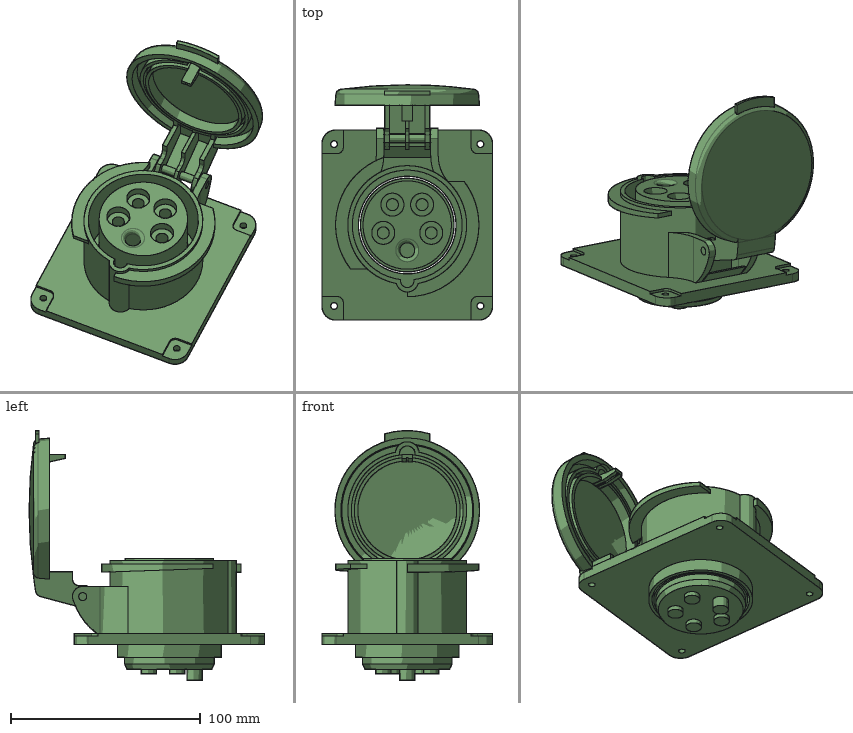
import cadquery as cq
import math


plate_x = 90.0
plate_y = 100.2
plate_top = 5.9
plate_corner_radius = 7.4
recess_x = 11.3
recess_y = 12.5
recess_depth = 1.3
recess_corner_radius = 3.3
screw_x = 38.5
screw_y = 42.6
screw_radius = 1.7

barrel_radius = 31.3
barrel_wall = 2.4
barrel_bore_radius = barrel_radius - barrel_wall
barrel_top = 44.3
key_y = -29.3
key_bore_radius = 3.5
key_outer_radius = key_bore_radius + barrel_wall
sleeve_radius = 27.4
sleeve_bore_radius = 25.6
sleeve_bottom = -6.7

ramp_radius = 37.7
ramp_top = 42.5
ramp_thick = 4.5
ramp_thin = 2.4
ramp_tip_y = 23.0

ear_outer_x = 16.3
ear_thickness = 4.0
ear_inner_x = ear_outer_x - ear_thickness
ear_top = 30.6
pivot_y = 45.6
pivot_z = 25.2
ear_radius = ear_top - pivot_z
ear_foot_y = 38.4
ear_back_y = 46.4
ear_back_z = 14.5
ear_eye_angle = math.radians(28)
ear_blend_y = 36.5
ear_blend_radius = (
    (ear_outer_x**2 + ear_blend_y**2 - barrel_radius**2) / (2 * (barrel_radius - ear_outer_x))
)
ear_blend_x = ear_outer_x + ear_blend_radius
ear_wall_top = 11.2
ear_wall_foot_y = 35.6
ear_wall_crest_inner_y = 41.4
ear_wall_crest_outer_y = 43.3

hinge_pin_radius = 2.1

insert_top = 45.4
insert_face_radius = 23.3
insert_collar_radius = 24.7
insert_base_radius = 23.7
insert_bottom = -13.0
insert_chamfer_height = 2.9
insert_chamfer_width = 1.3
contact_count = 5
contact_circle_radius = 13.3
contact_mouth_radius = 6.0
contact_mouth_depth = 5.0
contact_bore_radius = 3.2
contact_bore_bottom = 0
earth_bore_radius = 4.0
terminal_radius = 4.1
terminal_bottom = -15.4
earth_terminal_bottom = -18.8

lid_z = 70.6
lid_radius = 38.1
lid_face_y = 63.0
lid_side_y = 69.0
lid_side_radius = 37.6
lid_dome_edge_y = 71.5
lid_dome_edge_radius = 35.1
lid_edge_bulge = 0.4
lid_back_y = 73.9
lid_dome_thickness = 2.6
lid_cavity_radius = 35.0
lid_cavity_floor_radius = 34.5
lid_floor_y = 68.2
dome_rise = lid_back_y - lid_dome_edge_y
dome_radius = (lid_dome_edge_radius**2 + dome_rise**2) / (2 * dome_rise)
seal_outer_radius = barrel_radius
seal_inner_radius = 29.5
seal_y = 65.0
seal_key_z = lid_z + 29.9
seal_key_outer_radius = 6.3
seal_key_inner_radius = 4.1
spigot_outer_radius = 27.9
spigot_inner_radius = 26.0
spigot_y = 64.2

tab_half_width = 12.0
tab_radius = 42.1
tab_front_y = 68.5
tab_back_y = 70.5
hook_half_width = 2.8
hook_top = 100.1
hook_tip_y = 54.7
hook_tip_height = 2.1
hook_root_height = 4.0
hook_slot_width = 1.0
hook_slot_top = 98.4

arm_half_width = tab_half_width
arm_thickness = 2.5
middle_arm_thickness = 2.0
arm_eye_radius = 5.8
arm_eye_flat_y = 43.5
arm_eye_bulge = 0.5
arm_top = 38.4
arm_shoulder_y = 50.9
arm_shoulder_radius = 3.4
arm_slope = math.radians(15)
arm_heel_y = 70.2
arm_heel_radius = 4.0
arm_sheet = 2.0
arm_sheet_end_y = 48.1


def cylinder(radius, bottom, top, x=0, y=0):
    """Upright cylinder between two heights."""
    return cq.Workplane("XY", origin=(x, y, bottom)).circle(radius).extrude(top - bottom)


def lid_cylinder(radius, front_y, back_y, z=lid_z):
    """Cylinder along Y between two depths of the lid."""
    return cq.Workplane("XZ", origin=(0, front_y, z)).circle(radius).extrude(front_y - back_y)


def slab(profile_yz, half_width):
    """YZ outline made solid equally to both sides of X = 0."""
    return profile_yz.extrude(half_width, both=True)


def inner_dome_y(radius):
    """Depth of the inside of the spherical lid back at a given radius."""
    sag = dome_radius - math.sqrt(dome_radius**2 - radius**2)
    return lid_back_y - lid_dome_thickness - sag


def make_plate():
    plate = (
        cq.Workplane("XY")
        .rect(plate_x, plate_y)
        .extrude(plate_top)
        .edges("|Z")
        .fillet(plate_corner_radius)
    )
    for side_x in (-1, 1):
        for side_y in (-1, 1):
            recess = (
                cq.Workplane("XY", origin=(side_x * plate_x / 2, side_y * plate_y / 2, plate_top))
                .rect(2 * recess_x, 2 * recess_y)
                .extrude(-recess_depth)
                .edges("|Z")
                .fillet(recess_corner_radius)
            )
            screw_hole = cylinder(screw_radius, 0, plate_top, side_x * screw_x, side_y * screw_y)
            plate = plate.cut(recess).cut(screw_hole)
    return plate


def make_ramps():
    thick_z = ramp_top - ramp_thick
    thin_z = ramp_top - ramp_thin
    wedge = (
        cq.Workplane("YZ")
        .polyline([
            (-ramp_radius, thick_z),
            (ramp_tip_y, thin_z),
            (ramp_tip_y, ramp_top),
            (-ramp_radius, ramp_top),
        ])
        .close()
        .extrude(ramp_radius)
    )
    ramp = wedge.intersect(cylinder(ramp_radius, thick_z, ramp_top))
    return ramp.union(ramp.rotate((0, 0, 0), (0, 0, 1), 180))


def hinge_plan(side_x, blend_radius, end_y):
    """Plan of the hinge between two sides that flare toward the barrel on concentric arcs."""
    flare = math.radians(45)
    foot_x = ear_blend_x - blend_radius * math.cos(flare)
    foot_y = ear_blend_y - blend_radius * math.sin(flare)
    middle_x = ear_blend_x - blend_radius * math.cos(flare / 2)
    middle_y = ear_blend_y - blend_radius * math.sin(flare / 2)
    return (
        cq.Workplane("XY", origin=(0, 0, plate_top))
        .moveTo(-side_x, end_y)
        .lineTo(-side_x, ear_blend_y)
        .threePointArc((-middle_x, middle_y), (-foot_x, foot_y))
        .lineTo(foot_x, foot_y)
        .threePointArc((middle_x, middle_y), (side_x, ear_blend_y))
        .lineTo(side_x, end_y)
        .close()
    )


def make_ears():
    end_y = pivot_y + ear_radius
    eye_foot_y = pivot_y + ear_radius * math.cos(ear_eye_angle)
    eye_foot_z = pivot_z - ear_radius * math.sin(ear_eye_angle)
    ears = hinge_plan(ear_outer_x, ear_blend_radius, end_y).extrude(ear_top - plate_top)
    side = (
        cq.Workplane("YZ")
        .moveTo(0, plate_top)
        .lineTo(ear_foot_y, plate_top)
        .threePointArc((ear_back_y, ear_back_z), (eye_foot_y, eye_foot_z))
        .threePointArc((end_y, pivot_z), (pivot_y, ear_top))
        .lineTo(0, ear_top)
        .close()
    )
    return ears.intersect(slab(side, barrel_radius))


def make_ear_gap():
    """Space between the ears, from the plate up through the ramps."""
    gap = hinge_plan(ear_inner_x, ear_blend_radius + ear_thickness, pivot_y + ear_radius)
    return gap.extrude(ramp_top - plate_top).cut(cylinder(barrel_radius, plate_top, ramp_top))


def make_ear_wall():
    """Low sloping wall that closes the gap between the ears."""
    profile = (
        cq.Workplane("YZ")
        .polyline([
            (ear_wall_foot_y, plate_top),
            (ear_foot_y, plate_top),
            (ear_wall_crest_outer_y, ear_wall_top),
            (ear_wall_crest_inner_y, ear_wall_top),
        ])
        .close()
    )
    return slab(profile, ear_inner_x)


def make_housing():
    barrel = cylinder(barrel_radius, plate_top, barrel_top)
    key = cylinder(key_outer_radius, plate_top, barrel_top, y=key_y)
    sleeve = cylinder(sleeve_radius, sleeve_bottom, 0)
    barrel_bore = cylinder(barrel_bore_radius, plate_top, barrel_top)
    key_bore = cylinder(key_bore_radius, plate_top, barrel_top, y=key_y)
    sleeve_bore = cylinder(sleeve_bore_radius, sleeve_bottom, plate_top)
    pin_hole = slab(
        cq.Workplane("YZ").center(pivot_y, pivot_z).circle(hinge_pin_radius), ear_outer_x
    )
    return (
        make_plate()
        .union(barrel)
        .union(key)
        .union(sleeve)
        .union(make_ramps())
        .union(make_ears())
        .cut(make_ear_gap())
        .union(make_ear_wall())
        .cut(barrel_bore)
        .cut(key_bore)
        .cut(sleeve_bore)
        .cut(pin_hole)
    )


def make_insert():
    insert = (
        cq.Workplane("XZ")
        .polyline([
            (0, insert_top),
            (insert_face_radius, insert_top),
            (insert_face_radius, plate_top),
            (insert_collar_radius, plate_top),
            (insert_collar_radius, sleeve_bottom),
            (insert_base_radius, sleeve_bottom),
            (insert_base_radius, insert_bottom + insert_chamfer_height),
            (insert_base_radius - insert_chamfer_width, insert_bottom),
            (0, insert_bottom),
        ])
        .close()
        .revolve(360, (0, 0), (0, 1))
    )
    for index in range(contact_count):
        angle = math.radians(-90 + index * 360 / contact_count)
        x = contact_circle_radius * math.cos(angle)
        y = contact_circle_radius * math.sin(angle)
        if index == 0:
            insert = insert.cut(make_earth_bore().translate((x, y, 0)))
            terminal_end = earth_terminal_bottom
        else:
            mouth = cylinder(contact_mouth_radius, insert_top - contact_mouth_depth, insert_top, x, y)
            insert = insert.cut(mouth)
            insert = insert.cut(cylinder(contact_bore_radius, contact_bore_bottom, insert_top, x, y))
            terminal_end = terminal_bottom
        insert = insert.union(cylinder(terminal_radius, terminal_end, insert_bottom, x, y))
    return insert


def make_earth_bore():
    """Blind bore whose mouth is rounded outward to the size of the other mouths."""
    rounding = contact_mouth_radius - earth_bore_radius
    diagonal = rounding * math.sqrt(0.5)
    return (
        cq.Workplane("XZ")
        .moveTo(0, contact_bore_bottom)
        .lineTo(earth_bore_radius, contact_bore_bottom)
        .lineTo(earth_bore_radius, insert_top - rounding)
        .threePointArc(
            (contact_mouth_radius - diagonal, insert_top - rounding + diagonal),
            (contact_mouth_radius, insert_top),
        )
        .lineTo(0, insert_top)
        .close()
        .revolve(360, (0, 0), (0, 1))
    )


def make_hinge_pin():
    circle = cq.Workplane("YZ").center(pivot_y, pivot_z).circle(hinge_pin_radius)
    return slab(circle, ear_outer_x)


def lid_profile():
    """Sketch plane whose points are (radius, Y), for turning about the lid axis."""
    return cq.Workplane("XY", origin=(0, 0, lid_z))


def turn(profile):
    return profile.close().revolve(360, (0, 0), (0, 1))


def inner_dome_to_axis(profile, radius):
    """Continue a profile along the inside of the dome from a radius to the axis."""
    middle = (radius / 2, inner_dome_y(radius / 2))
    return profile.threePointArc(middle, (0, inner_dome_y(0)))


def make_lid_shell():
    middle_radius = lid_dome_edge_radius / 2
    middle_y = inner_dome_y(middle_radius) + lid_dome_thickness
    edge_middle = (
        (lid_side_radius + lid_dome_edge_radius) / 2 + lid_edge_bulge,
        (lid_side_y + lid_dome_edge_y) / 2 + lid_edge_bulge,
    )
    shell = turn(
        lid_profile()
        .moveTo(0, lid_face_y)
        .lineTo(lid_radius, lid_face_y)
        .lineTo(lid_side_radius, lid_side_y)
        .threePointArc(edge_middle, (lid_dome_edge_radius, lid_dome_edge_y))
        .threePointArc((middle_radius, middle_y), (0, lid_back_y))
    )
    cavity = (
        lid_profile()
        .moveTo(0, lid_face_y)
        .lineTo(lid_cavity_radius, lid_face_y)
        .lineTo(lid_cavity_floor_radius, lid_floor_y)
        .lineTo(seal_outer_radius, inner_dome_y(seal_outer_radius))
    )
    return shell.cut(turn(inner_dome_to_axis(cavity, seal_outer_radius)))


def make_lid_core():
    """Space inside the seal ring, down to the dome, with the keyway bulge at the top."""
    core = (
        lid_profile()
        .moveTo(0, lid_face_y)
        .lineTo(seal_inner_radius, lid_face_y)
        .lineTo(seal_inner_radius, inner_dome_y(seal_inner_radius))
    )
    floor_y = inner_dome_y(seal_outer_radius)
    key_bulge = lid_cylinder(seal_key_inner_radius, lid_face_y, floor_y, seal_key_z)
    return turn(inner_dome_to_axis(core, seal_inner_radius)).union(key_bulge)


def make_arms():
    """Hinge arms as one solid block, from the pivot eye to the back of the lid."""
    slope_cos = math.cos(arm_slope)
    slope_sin = math.sin(arm_slope)
    eye_foot_y = pivot_y + arm_eye_radius * slope_sin
    eye_foot_z = pivot_z - arm_eye_radius * slope_cos
    heel_z = eye_foot_z + (arm_heel_y - eye_foot_y) * math.tan(arm_slope)
    arm_back_top = lid_z - seal_inner_radius * slope_cos
    eye_end_y = pivot_y - arm_eye_radius
    nose_middle = (
        (arm_eye_flat_y + eye_end_y) / 2 - arm_eye_bulge,
        pivot_z + arm_eye_radius / 2 + arm_eye_bulge,
    )
    eye_diagonal = arm_eye_radius * math.sqrt(0.5)
    outline = (
        cq.Workplane("YZ")
        .moveTo(arm_eye_flat_y, pivot_z + arm_eye_radius)
        .threePointArc(nose_middle, (eye_end_y, pivot_z))
        .threePointArc(
            (pivot_y - eye_diagonal, pivot_z - eye_diagonal), (eye_foot_y, eye_foot_z)
        )
        .lineTo(arm_heel_y, heel_z)
        .lineTo(lid_dome_edge_y, lid_z - lid_dome_edge_radius)
        .lineTo(lid_dome_edge_y, arm_back_top)
        .lineTo(seal_y, arm_back_top)
        .lineTo(seal_y, arm_top)
        .lineTo(arm_shoulder_y, arm_top)
        .lineTo(arm_shoulder_y, pivot_z + arm_eye_radius)
        .close()
    )
    heel = cq.selectors.NearestToPointSelector((0, arm_heel_y, heel_z))
    shoulder = cq.selectors.NearestToPointSelector((0, arm_shoulder_y, pivot_z + arm_eye_radius))
    arms = slab(outline, arm_half_width)
    arms = arms.edges("|X").edges(heel).fillet(arm_heel_radius)
    return arms.edges("|X").edges(shoulder).fillet(arm_shoulder_radius)


def make_arm_gaps():
    """Two gaps between the three arms, which leave a sheet under and behind them."""
    tangent = math.tan(arm_slope)
    sheet_rise = (arm_eye_radius - arm_sheet) / math.cos(arm_slope)
    back_y = lid_floor_y
    back_z = pivot_z - sheet_rise + (back_y - pivot_y) * tangent
    sheet_end_z = pivot_z - sheet_rise + (arm_sheet_end_y - pivot_y) * tangent
    low_z = pivot_z - arm_eye_radius
    front_y = pivot_y - arm_eye_radius
    gap_top = lid_z - seal_inner_radius
    gap_start = middle_arm_thickness / 2
    gap_width = arm_half_width - arm_thickness - gap_start
    gap = (
        cq.Workplane("YZ", origin=(gap_start, 0, 0))
        .polyline([
            (front_y, low_z),
            (arm_sheet_end_y, low_z),
            (arm_sheet_end_y, sheet_end_z),
            (back_y, back_z),
            (back_y, gap_top),
            (front_y, gap_top),
        ])
        .close()
        .extrude(gap_width)
    )
    return gap.union(gap.mirror("YZ"))


def make_seal_ring():
    floor_y = inner_dome_y(seal_outer_radius) + lid_dome_thickness / 2
    ring = lid_cylinder(seal_outer_radius, seal_y, floor_y)
    key = lid_cylinder(seal_key_outer_radius, seal_y, lid_side_y, seal_key_z)
    return ring.union(key)


def make_spigot():
    floor_y = inner_dome_y(spigot_outer_radius) + lid_dome_thickness / 2
    outer = lid_cylinder(spigot_outer_radius, spigot_y, floor_y)
    bore = (
        lid_profile()
        .moveTo(0, spigot_y)
        .lineTo(spigot_inner_radius, spigot_y)
        .lineTo(spigot_inner_radius, inner_dome_y(spigot_inner_radius))
    )
    return outer.cut(turn(inner_dome_to_axis(bore, spigot_inner_radius)))


def make_hook():
    root_y = inner_dome_y(spigot_outer_radius)
    root_depth = root_y - hook_tip_y
    root_bottom = hook_top - hook_root_height
    profile = (
        cq.Workplane("YZ")
        .polyline([
            (hook_tip_y, hook_top),
            (root_y, hook_top),
            (root_y, root_bottom),
            (lid_face_y, root_bottom),
            (hook_tip_y, hook_top - hook_tip_height),
        ])
        .close()
    )
    slot = (
        cq.Workplane("XY", origin=(0, hook_tip_y + root_depth / 2, hook_slot_top))
        .rect(hook_slot_width, root_depth)
        .extrude(root_bottom - hook_slot_top)
    )
    return slab(profile, hook_half_width).cut(slot)


def make_tab():
    disc = lid_cylinder(tab_radius, tab_front_y, tab_back_y)
    strip = (
        cq.Workplane("XZ", origin=(0, tab_front_y, 0))
        .center(0, lid_z + tab_radius)
        .rect(2 * tab_half_width, 2 * (tab_radius - lid_cavity_radius))
        .extrude(tab_front_y - tab_back_y)
    )
    return disc.intersect(strip)


def make_lid():
    key_notch = lid_cylinder(seal_key_outer_radius, lid_face_y, seal_y, seal_key_z)
    pin_hole = make_hinge_pin()
    return (
        make_lid_shell()
        .union(make_tab())
        .union(make_arms())
        .cut(make_arm_gaps())
        .cut(key_notch)
        .union(make_seal_ring())
        .cut(make_lid_core())
        .union(make_spigot())
        .union(make_hook())
        .cut(pin_hole)
    )


housing = make_housing()
insert = make_insert()
hinge_pin = make_hinge_pin()
lid = make_lid()

result = cq.Compound.makeCompound([housing.val(), insert.val(), hinge_pin.val(), lid.val()])